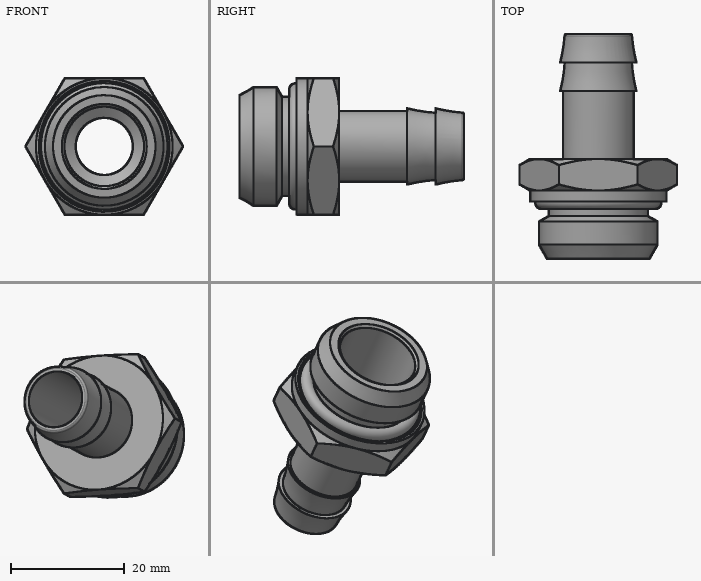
import cadquery as cq
import math

total_length = 39.5
lead_chamfer_end = 2.5
thread_end = 6.55
neck_start = 7.5
flange_start = 10.05
hex_start = 12.0
hex_end = 17.55
barb_length = 5.0
barb_count = 2

thread_radius = 20.85 / 2
lead_radius = 18.0 / 2
neck_radius = 17.5 / 2
across_flats = 24.0
flange_radius = across_flats / 2
shank_radius = 12.5 / 2
barb_large_radius = 13.43 / 2
barb_small_radius = 11.85 / 2
barb_hollow = 0.1
tip_fillet = 0.4
hex_chamfer_angle = 30.0

bore_radius = 14.0 / 2
bore_mouth_radius = 14.95 / 2
bore_depth = 13.05
passage_radius = 10.0 / 2
drill_point_half_angle = 60.0

ring_section_radius = 1.2
ring_center_radius = neck_radius + ring_section_radius
ring_center_y = 9.9
recess_floor_y = ring_center_y + ring_section_radius
wall_radius_plus_y = ring_center_radius + ring_center_y + ring_section_radius * math.sqrt(2)


def revolve_about_y(profile):
    """Revolve a closed profile of (radius, Y) points around the Y axis."""
    return profile.close().revolve(360, (0, 0, 0), (0, 1, 0))


def make_threaded_end():
    """Threaded spigot, relief neck and round flange, reaching to the hexagon."""
    profile = cq.Workplane("XY").polyline([
        (0, 0),
        (lead_radius, 0),
        (thread_radius, lead_chamfer_end),
        (thread_radius, thread_end),
        (neck_radius, neck_start),
        (neck_radius, recess_floor_y),
        (wall_radius_plus_y - recess_floor_y, recess_floor_y),
        (wall_radius_plus_y - flange_start, flange_start),
        (flange_radius, flange_start),
        (flange_radius, hex_start),
        (0, hex_start),
    ])
    return revolve_about_y(profile)


def make_hexagon():
    """Hexagon with corners on +X and -X, chamfered at both ends."""
    corner_radius = flange_radius / math.cos(math.pi / 6)
    hex_length = hex_end - hex_start
    prism = (
        cq.Workplane("XZ", origin=(0, hex_end, 0))
        .polygon(6, 2 * corner_radius)
        .extrude(hex_length)
    )
    slope = math.tan(math.radians(hex_chamfer_angle))
    middle_y = (hex_start + hex_end) / 2
    envelope_radius = flange_radius + hex_length / 2 / slope
    envelope = revolve_about_y(cq.Workplane("XY").polyline([
        (0, hex_start),
        (flange_radius, hex_start),
        (envelope_radius, middle_y),
        (flange_radius, hex_end),
        (0, hex_end),
    ]))
    return prism.intersect(envelope)


def make_barb(start_y):
    """Barb with its sharp edge at start_y, tapering toward the hose tip."""
    end_y = start_y + barb_length
    middle_radius = (barb_large_radius + barb_small_radius) / 2 - barb_hollow
    profile = (
        cq.Workplane("XY")
        .moveTo(0, start_y)
        .lineTo(barb_large_radius, start_y)
        .threePointArc((middle_radius, start_y + barb_length / 2), (barb_small_radius, end_y))
        .lineTo(0, end_y)
    )
    return revolve_about_y(profile)


def make_hose_stem():
    """Plain shank followed by the row of barbs, rounded at the tip."""
    barbs_start = total_length - barb_count * barb_length
    stem = (
        cq.Workplane("XZ", origin=(0, barbs_start, 0))
        .circle(shank_radius)
        .extrude(barbs_start - hex_end)
    )
    for index in range(barb_count):
        stem = stem.union(make_barb(barbs_start + index * barb_length))
    return stem.faces(">Y").edges().fillet(tip_fillet)


def make_bore():
    """Chamfered wide bore with a drill-point end, running into the through passage."""
    mouth_chamfer = bore_mouth_radius - bore_radius
    point_length = (bore_radius - passage_radius) / math.tan(math.radians(drill_point_half_angle))
    return revolve_about_y(cq.Workplane("XY").polyline([
        (0, 0),
        (bore_mouth_radius, 0),
        (bore_radius, mouth_chamfer),
        (bore_radius, bore_depth),
        (passage_radius, bore_depth + point_length),
        (passage_radius, total_length),
        (0, total_length),
    ]))


def make_fitting():
    outside = make_threaded_end().union(make_hexagon()).union(make_hose_stem())
    return outside.cut(make_bore())


def make_sealing_ring():
    return (
        cq.Workplane("XY")
        .center(ring_center_radius, ring_center_y)
        .circle(ring_section_radius)
        .revolve(360, (-ring_center_radius, 0, 0), (-ring_center_radius, 1, 0))
    )


fitting = make_fitting()
sealing_ring = make_sealing_ring()
result = cq.Compound.makeCompound([fitting.solids().val(), sealing_ring.val()])